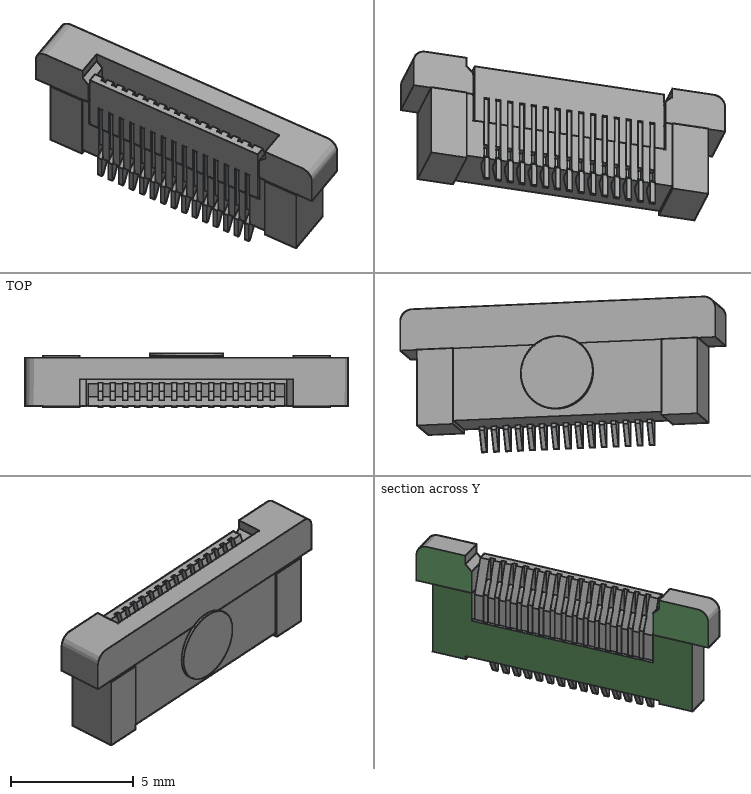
import cadquery as cq
import math


SLIDER_LENGTH = 13.15
SLIDER_DEPTH = 1.98
SLIDER_HEIGHT = 1.7
SLIDER_CORNER_RADIUS = 0.5
MOUTH_LENGTH = 8.7
MOUTH_DEPTH = 1.1
MOUTH_TAPER_TOP = 1.3
TAPER_SIZE = 0.28

END_BLOCK_LENGTH = 1.5
END_BLOCK_HEIGHT = 3.15
END_BLOCK_FRONT = -0.05
END_BLOCK_REAR = 2.06
CORE_LENGTH = MOUTH_LENGTH
CORE_FRONT = 0.02
CORE_HEIGHT = 3.0
POCKET_LENGTH = MOUTH_LENGTH - 2 * TAPER_SIZE
POCKET_FLOOR = -1.27
PLATE_LENGTH = 8.0
PLATE_TOP = 1.35
PLATE_TOP_THICKNESS = 0.39
PLATE_BASE_THICKNESS = 0.92
PLATE_REAR_SLOPE = 70

CONTACT_COUNT = 15
CONTACT_PITCH = 0.5
CONTACT_WIDTH = 0.2
FRONT_GROOVE_TOP = -0.1
FRONT_GROOVE_DEPTH = 0.1
FRONT_GROOVE_END = -2.3
DEEP_GROOVE_DEPTH = 0.35
CONTACT_SLOT_FRONT = 0.24
CONTACT_SLOT_FLOOR = -0.1
BEAM_FRONT = 0.6
BEAM_REAR = 0.95
BEAM_TOP = 0.55
BEAM_TIP_CHAMFER = 0.08
BEAM_REAR_SLOPE = 60
FOOT_FRONT = END_BLOCK_FRONT
FOOT_BOTTOM = -3.97
FOOT_TOP = -2.98
FOOT_RAMP_RISE = 0.3
FOOT_REAR = 0.5
TOE_REAR = 0.14
TOE_HEIGHT = 0.13
TOE_FLAT_REAR = 0.06

DISC_DIAMETER = 3.0
DISC_REAR = 2.16
DISC_THICKNESS = 0.12
DISC_CENTRE_Z = -1.21


def block(x_range, y_range, z_range):
    """Rectangular block between the given pairs of limits."""
    corner = (x_range[0], y_range[0], z_range[0])
    size = [limits[1] - limits[0] for limits in (x_range, y_range, z_range)]
    return cq.Workplane("XY").box(*size, centered=False).translate(corner)


def centred(length):
    """Limits of a length centred on zero."""
    return (-length / 2, length / 2)


def make_slider():
    """Bar with rounded upper ends and a tapered cable mouth open to the front."""
    bar = block(centred(SLIDER_LENGTH), (0, SLIDER_DEPTH), (0, SLIDER_HEIGHT))
    bar = bar.edges("|Y and >Z").fillet(SLIDER_CORNER_RADIUS)
    top_half = MOUTH_LENGTH / 2
    bottom_half = POCKET_LENGTH / 2
    taper_bottom = MOUTH_TAPER_TOP - TAPER_SIZE
    half_outline = [
        (bottom_half, 0),
        (bottom_half, taper_bottom),
        (top_half, MOUTH_TAPER_TOP),
        (top_half, SLIDER_HEIGHT),
    ]
    mirrored = [(-x, z) for x, z in reversed(half_outline)]
    mouth = cq.Workplane("XZ").polyline(half_outline + mirrored).close().extrude(-MOUTH_DEPTH)
    return bar.cut(mouth)


def make_housing_shell():
    """Core with end blocks, cable pocket and the upright plate in front of the cable."""
    shell = block(centred(CORE_LENGTH), (CORE_FRONT, SLIDER_DEPTH), (-CORE_HEIGHT, 0))
    inner = CORE_LENGTH / 2
    outer = inner + END_BLOCK_LENGTH
    for x_range in ((-outer, -inner), (inner, outer)):
        shell = shell.union(block(x_range, (END_BLOCK_FRONT, END_BLOCK_REAR), (-END_BLOCK_HEIGHT, 0)))
    shell = shell.cut(block(centred(POCKET_LENGTH), (CORE_FRONT, MOUTH_DEPTH), (POCKET_FLOOR, 0)))
    return shell.union(make_plate())


def slope_drop(run, degrees):
    """Height lost over a horizontal run at the given angle from horizontal."""
    return run * math.tan(math.radians(degrees))


def extrude_along_row(points, length, x=0):
    """Extrude a (Y, Z) outline along the contact row, centred on x."""
    profile = cq.Workplane("YZ").polyline(points).close()
    return profile.extrude(length / 2, both=True).translate((x, 0, 0))


def make_plate():
    """Upright wedge that thickens downwards behind its flat front face."""
    run = PLATE_BASE_THICKNESS - PLATE_TOP_THICKNESS
    outline = [
        (0, POCKET_FLOOR),
        (0, PLATE_TOP),
        (PLATE_TOP_THICKNESS, PLATE_TOP),
        (PLATE_BASE_THICKNESS, PLATE_TOP - slope_drop(run, PLATE_REAR_SLOPE)),
        (PLATE_BASE_THICKNESS, POCKET_FLOOR),
    ]
    return extrude_along_row(outline, PLATE_LENGTH)


def contact_beam(x):
    """Spring beam with a chamfered tip and a sloped rear face."""
    crest_y = BEAM_FRONT + BEAM_TIP_CHAMFER
    crest_z = BEAM_TOP - BEAM_TIP_CHAMFER
    outline = [
        (BEAM_FRONT, POCKET_FLOOR),
        (BEAM_FRONT, BEAM_TOP),
        (crest_y, crest_z),
        (BEAM_REAR, crest_z - slope_drop(BEAM_REAR - crest_y, BEAM_REAR_SLOPE)),
        (BEAM_REAR, POCKET_FLOOR),
    ]
    return extrude_along_row(outline, CONTACT_WIDTH, x)


def contact_foot(x):
    """Soldering foot with a ramp on top and a back that tapers to a bevelled toe."""
    ramp_top = FOOT_TOP + FOOT_RAMP_RISE
    outline = [
        (FOOT_FRONT, FOOT_BOTTOM),
        (FOOT_FRONT, FOOT_TOP),
        (DEEP_GROOVE_DEPTH, ramp_top),
        (FOOT_REAR, ramp_top),
        (FOOT_REAR, -END_BLOCK_HEIGHT),
        (TOE_REAR, FOOT_BOTTOM + TOE_HEIGHT),
        (TOE_FLAT_REAR, FOOT_BOTTOM),
    ]
    return extrude_along_row(outline, CONTACT_WIDTH, x)


def contact_grooves(x):
    """Stepped groove in the front face and the slot in the rear of the plate."""
    x_range = (x - CONTACT_WIDTH / 2, x + CONTACT_WIDTH / 2)
    shallow = block(x_range, (0, FRONT_GROOVE_DEPTH), (FRONT_GROOVE_END, FRONT_GROOVE_TOP))
    deep = block(x_range, (0, DEEP_GROOVE_DEPTH), (-CORE_HEIGHT, FRONT_GROOVE_END))
    slot = block(x_range, (CONTACT_SLOT_FRONT, BEAM_REAR), (CONTACT_SLOT_FLOOR, PLATE_TOP))
    return (shallow, deep, slot)


def make_housing():
    """Housing shell with its row of moulded-in contacts."""
    housing = make_housing_shell()
    for index in range(CONTACT_COUNT):
        x = (index - (CONTACT_COUNT - 1) / 2) * CONTACT_PITCH
        for groove in contact_grooves(x):
            housing = housing.cut(groove)
        housing = housing.union(contact_beam(x)).union(contact_foot(x))
    return housing


def make_disc():
    """Thin round marker standing just behind the rear face."""
    disc = cq.Workplane("XZ").circle(DISC_DIAMETER / 2).extrude(DISC_THICKNESS)
    return disc.translate((0, DISC_REAR, DISC_CENTRE_Z))


slider = make_slider()
housing = make_housing()
disc = make_disc()

result = cq.Compound.makeCompound([slider.val(), housing.val(), disc.val()])